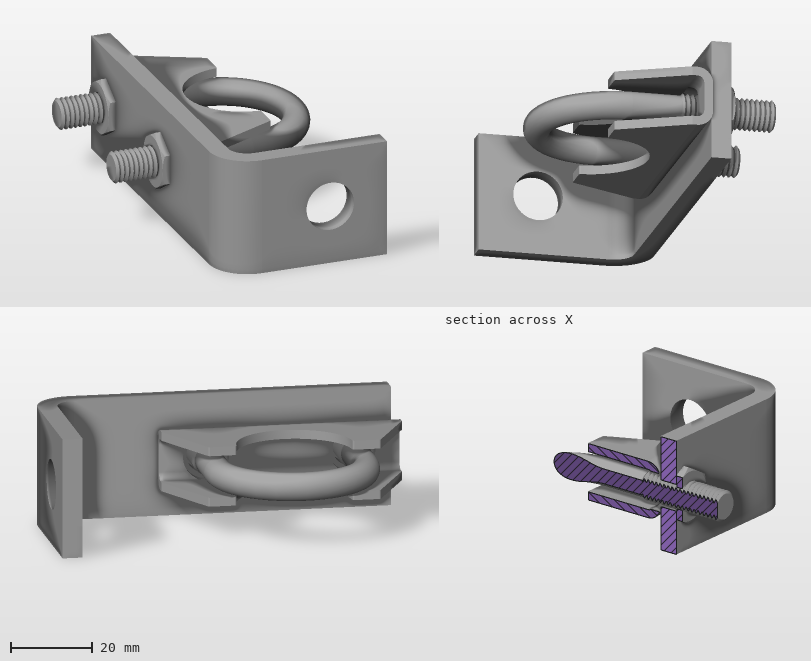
import cadquery as cq
import math


leg_spacing = 36.5
rod_diameter = 7.0
thread_diameter = 8.0
thread_root_diameter = 6.65
thread_pitch = 1.25
thread_turns = 19
leg_tip_y = -18.0
leg_x = leg_spacing / 2
leg_positions = (-leg_x, leg_x)
arch_center_y = leg_x
thread_end_y = leg_tip_y + thread_turns * thread_pitch

bracket_height = 30.0
plate_thickness = 5.0
plate_left_x = -28.25
bracket_right_x = 60.75
bracket_tip_y = 38.0
bend_inner_radius = 5.0
bend_outer_radius = bend_inner_radius + plate_thickness
bracket_front_y = -plate_thickness
leg_hole_diameter = 12.5
leg_hole_y = 23.0
bolt_clearance_diameter = 9.0

saddle_length = 60.0
saddle_width = 15.0
saddle_wall = 2.25
saddle_depth = 22.8
saddle_bend_radius = 4.0
saddle_top_length = 42.8
saddle_corner_radius = 0.5
saddle_taper_y = 5.25
cable_radius = 14.5
cable_center_y = 23.5
saddle_hole_diameter = 11.5

nut_across_flats = 13.0
nut_thickness = 2.0
nut_chamfer_angle = 30.0


def rod_along_y(diameter, start_y, end_y, x):
    """Round bar parallel to Y, at mid-height, from start_y up to end_y."""
    face = cq.Workplane("XZ", origin=(x, start_y, 0))
    return face.circle(diameter / 2).extrude(start_y - end_y)


def make_bracket():
    outline = (
        cq.Workplane("XY", origin=(0, 0, -bracket_height / 2))
        .moveTo(plate_left_x, bracket_front_y)
        .lineTo(bracket_right_x, bracket_front_y)
        .lineTo(bracket_right_x, bracket_tip_y)
        .lineTo(bracket_right_x - plate_thickness, bracket_tip_y)
        .lineTo(bracket_right_x - plate_thickness, 0)
        .lineTo(plate_left_x, 0)
        .close()
        .extrude(bracket_height)
    )
    inner_corner = cq.NearestToPointSelector((bracket_right_x - plate_thickness, 0, 0))
    outer_corner = cq.NearestToPointSelector((bracket_right_x, bracket_front_y, 0))
    body = outline.edges(inner_corner).fillet(bend_inner_radius)
    body = body.edges(outer_corner).fillet(bend_outer_radius)

    leg_hole = (
        cq.Workplane("YZ", origin=(bracket_right_x - plate_thickness, leg_hole_y, 0))
        .circle(leg_hole_diameter / 2)
        .extrude(plate_thickness)
    )
    body = body.cut(leg_hole)
    for x in leg_positions:
        body = body.cut(rod_along_y(bolt_clearance_diameter, bracket_front_y, 0, x))
    return body


def make_saddle():
    inner_width = saddle_width - 2 * saddle_wall
    channel = (
        cq.Workplane("XY")
        .box(saddle_length, saddle_depth, saddle_width, centered=(True, False, True))
        .edges("|X and <Y")
        .fillet(saddle_bend_radius)
    )
    trough = (
        cq.Workplane("XY", origin=(0, saddle_wall, 0))
        .box(saddle_length, saddle_depth, inner_width, centered=(True, False, True))
        .edges("|X and <Y")
        .fillet(saddle_bend_radius - saddle_wall)
    )
    flange_outline = (
        cq.Workplane("XY", origin=(0, 0, -saddle_width / 2))
        .moveTo(-saddle_length / 2, 0)
        .lineTo(saddle_length / 2, 0)
        .lineTo(saddle_length / 2, saddle_taper_y)
        .lineTo(saddle_top_length / 2, saddle_depth)
        .lineTo(-saddle_top_length / 2, saddle_depth)
        .lineTo(-saddle_length / 2, saddle_taper_y)
        .close()
        .extrude(saddle_width)
    )
    cable_seat = (
        cq.Workplane("XY", origin=(0, cable_center_y, -saddle_width / 2))
        .circle(cable_radius)
        .extrude(saddle_width)
    )
    rounded_outline = flange_outline.cut(cable_seat).edges("|Z and >Y").fillet(saddle_corner_radius)
    body = channel.cut(trough).intersect(rounded_outline)
    for x in leg_positions:
        body = body.cut(rod_along_y(saddle_hole_diameter, 0, saddle_bend_radius, x))
    return body


def make_threaded_end(x):
    """Stack of V-shaped thread ridges, revolved about the leg axis."""
    root_radius = thread_root_diameter / 2
    crest_radius = thread_diameter / 2
    profile = cq.Workplane("XY", origin=(x, 0, 0)).moveTo(0, leg_tip_y)
    profile = profile.lineTo(root_radius, leg_tip_y)
    for turn in range(thread_turns):
        valley_y = leg_tip_y + turn * thread_pitch
        profile = profile.lineTo(crest_radius, valley_y + thread_pitch / 2)
        profile = profile.lineTo(root_radius, valley_y + thread_pitch)
    profile = profile.lineTo(0, thread_end_y).close()
    return profile.revolve(360, (0, 0, 0), (0, 1, 0))


def make_u_bolt():
    path = (
        cq.Workplane("XY")
        .moveTo(-leg_x, thread_end_y)
        .lineTo(-leg_x, arch_center_y)
        .threePointArc((0, arch_center_y + leg_x), (leg_x, arch_center_y))
        .lineTo(leg_x, thread_end_y)
    )
    body = cq.Workplane("XZ", origin=(-leg_x, thread_end_y, 0)).circle(rod_diameter / 2).sweep(path)
    for x in leg_positions:
        body = body.union(make_threaded_end(x))
    return body


def make_nut(x):
    """Hexagon nut on the bracket front, corners up and down, front corners chamfered."""
    corner_radius = nut_across_flats / math.sqrt(3)
    face_radius = nut_across_flats / 2
    chamfer_depth = (corner_radius - face_radius) * math.tan(math.radians(nut_chamfer_angle))
    nut_front_y = bracket_front_y - nut_thickness
    hexagon = (
        cq.Workplane("XZ", origin=(x, bracket_front_y, 0))
        .transformed(rotate=(0, 0, 90))
        .polygon(6, 2 * corner_radius)
        .extrude(nut_thickness)
    )
    chamfer_envelope = (
        cq.Workplane("XY", origin=(x, 0, 0))
        .moveTo(0, nut_front_y)
        .lineTo(face_radius, nut_front_y)
        .lineTo(corner_radius, nut_front_y + chamfer_depth)
        .lineTo(corner_radius, bracket_front_y)
        .lineTo(0, bracket_front_y)
        .close()
        .revolve(360, (0, 0, 0), (0, 1, 0))
    )
    bore = rod_along_y(thread_diameter, nut_front_y, bracket_front_y, x)
    return hexagon.intersect(chamfer_envelope).cut(bore)


bracket = make_bracket()
saddle = make_saddle()
u_bolt = make_u_bolt()
nuts = [make_nut(x) for x in leg_positions]

result = cq.Compound.makeCompound(
    [bracket.val(), saddle.val(), u_bolt.val(), *[nut.val() for nut in nuts]]
)